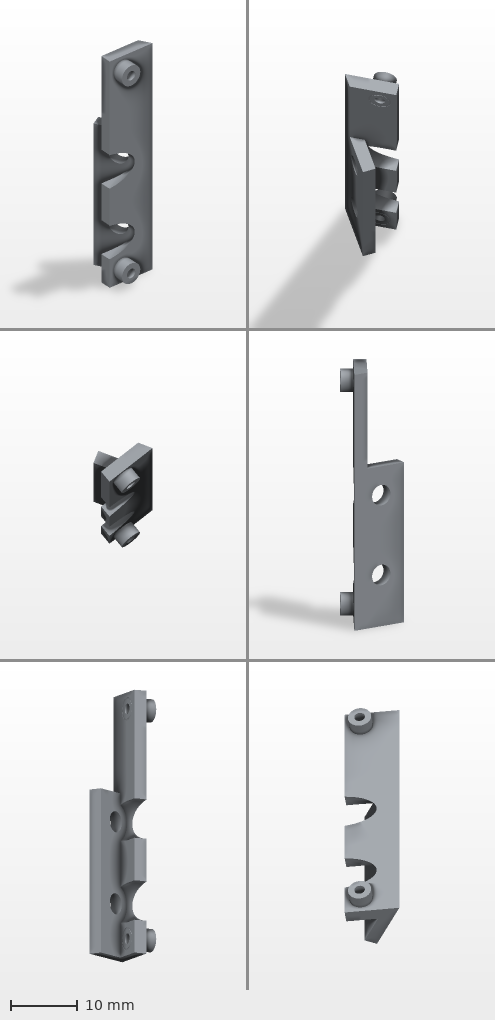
import cadquery as cq
import math

thickness = 2.0
height = 40.0
overall_width = 8.7
lean_angle = 60.0
leaning_length = 7.1
flange_height = 25.0

hole_diameter = 3.2
hole_inset = 4.0
hole_heights = (8.0, 20.5)
clearance_radius = 3.0

collar_diameter = 3.5
tip_diameter = 3.0
bore_diameter = 1.6
collar_projection = 2.0
insert_edge_distance = 2.5
seat_depth = 1.95

lean = math.radians(lean_angle)
flange_left = -overall_width
inner_corner_x = -thickness / math.sin(lean)
along_x, along_y = -math.cos(lean), -math.sin(lean)
normal_x, normal_y = math.sin(lean), -math.cos(lean)
inner_edge = (inner_corner_x + leaning_length * along_x, leaning_length * along_y)
outer_edge = (inner_edge[0] + thickness * normal_x, inner_edge[1] + thickness * normal_y)
insert_distance = leaning_length - insert_edge_distance
insert_heights = (insert_edge_distance, height - insert_edge_distance)


def make_leaning_plate():
    outline = [(inner_corner_x, 0), (0, 0), outer_edge, inner_edge]
    return cq.Workplane("XY").polyline(outline).close().extrude(height)


def make_flange():
    root_x = inner_corner_x + thickness * along_x / math.sin(lean)
    outline = [(flange_left, 0), (inner_corner_x, 0), (root_x, -thickness), (flange_left, -thickness)]
    return cq.Workplane("XY").polyline(outline).close().extrude(flange_height)


def make_clearance(center_z):
    """Slot in front of the flange, round towards +X and open towards -X."""
    center_x = flange_left + hole_inset
    depth = -outer_edge[1]
    plane = cq.Workplane("XZ", origin=(center_x, -thickness, center_z))
    return (
        plane.moveTo(-hole_inset, -clearance_radius)
        .lineTo(0, -clearance_radius)
        .threePointArc((clearance_radius, 0), (0, clearance_radius))
        .lineTo(-hole_inset, clearance_radius)
        .close()
        .extrude(depth)
    )


def make_mounting_hole(center_z):
    plane = cq.Workplane("XZ", origin=(flange_left + hole_inset, 0, center_z))
    return plane.circle(hole_diameter / 2).extrude(thickness)


def insert_plane(center_z, depth):
    """Plane facing out through the leaning plate, at a depth from its inner face."""
    origin = (
        inner_corner_x + insert_distance * along_x + depth * normal_x,
        insert_distance * along_y + depth * normal_y,
        center_z,
    )
    return cq.Workplane(cq.Plane(origin=origin, xDir=(0, 0, 1), normal=(normal_x, normal_y, 0)))


def make_insert_hole(center_z):
    return insert_plane(center_z, 0).circle(collar_diameter / 2).extrude(thickness)


def make_insert(center_z):
    collar_start = thickness - seat_depth
    tip = insert_plane(center_z, 0).circle(tip_diameter / 2).extrude(collar_start)
    collar_length = seat_depth + collar_projection
    collar = insert_plane(center_z, collar_start).circle(collar_diameter / 2).extrude(collar_length)
    bore = insert_plane(center_z, 0).circle(bore_diameter / 2).extrude(thickness + collar_projection)
    return tip.union(collar).cut(bore)


bracket = make_leaning_plate()
for hole_z in hole_heights:
    bracket = bracket.cut(make_clearance(hole_z))
bracket = bracket.union(make_flange())
for hole_z in hole_heights:
    bracket = bracket.cut(make_mounting_hole(hole_z))
for insert_z in insert_heights:
    bracket = bracket.cut(make_insert_hole(insert_z))

inserts = [make_insert(insert_z) for insert_z in insert_heights]

result = cq.Compound.makeCompound([bracket.val(), *[insert.val() for insert in inserts]])